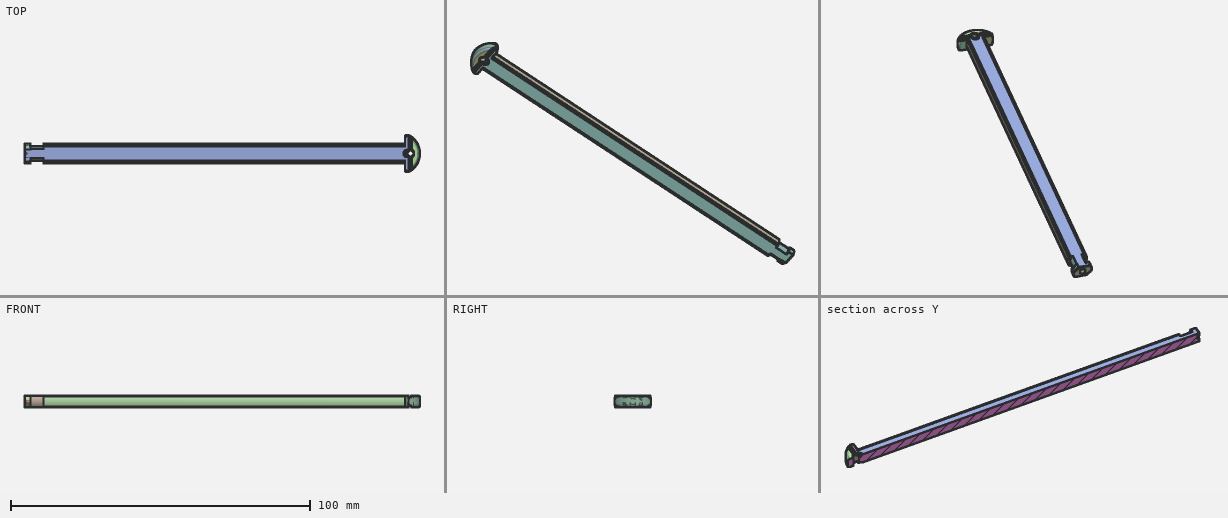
import cadquery as cq
import math

total_length = 131.88
thickness = 4.0
half_thickness = thickness / 2

rod_diameter = 6.7
rod_radius = rod_diameter / 2
rod_edge_chamfer = 0.4

neck_start = 2.0
neck_end = 6.4
neck_diameter = 5.0

tip_slope_top_y = 1.35
tip_slope_side_z = 0.2
tip_corner_radius = 1.0
tip_end_chamfer = 0.2
center_hole_diameter = 2.0
center_hole_angle = 90

head_start = 126.85
head_width = 12.25
head_corner_radius = 0.6
dome_radius = 6.75
dome_center_x = total_length - dome_radius
dome_edge_radius = 0.75

groove_start = 128.05
groove_depth = 0.6
groove_floor_width = 0.6
groove_slope_angle = 50
groove_middle = groove_start + groove_floor_width / 2

cross_hole_x = 128.7
cross_hole_diameter = 2.0
slot_start = 126.4
slot_width = 2.5
slot_depth = 0.4
slot_bevel_angle = 45


def flatted_bar(diameter, start, end):
    """Round bar along X with flats on its +Z and -Z sides."""
    length = end - start
    bar = cq.Workplane("YZ", origin=(start, 0, 0)).circle(diameter / 2).extrude(length)
    flats = cq.Workplane("YZ", origin=(start, 0, 0)).rect(diameter, thickness).extrude(length)
    return bar.intersect(flats)


def make_rod():
    rod = flatted_bar(rod_diameter, neck_end, head_start)
    return rod.edges("|X").chamfer(rod_edge_chamfer)


def make_neck():
    return flatted_bar(neck_diameter, neck_start, neck_end)


def make_center_hole():
    """Conical centre hole that opens on the end face of the tip."""
    radius = center_hole_diameter / 2
    depth = radius / math.tan(math.radians(center_hole_angle / 2))
    cone = cq.Solid.makeCone(radius, 0, depth, dir=cq.Vector(1, 0, 0))
    return cq.Workplane(cone)


def make_tip():
    side_y = math.sqrt(rod_radius**2 - tip_slope_side_z**2)
    slope = (half_thickness - tip_slope_side_z) / (side_y - tip_slope_top_y)
    corner = (
        cq.Workplane("YZ")
        .moveTo(tip_slope_top_y, half_thickness)
        .lineTo(tip_slope_top_y + rod_diameter, half_thickness - slope * rod_diameter)
        .lineTo(tip_slope_top_y + rod_diameter, half_thickness)
        .close()
        .extrude(neck_start)
    )
    tip = flatted_bar(rod_diameter, 0, neck_start)
    tip = tip.cut(corner).cut(corner.rotate((0, 0, 0), (1, 0, 0), 180))
    tip = tip.edges("|X").edges(">Y or <Y").fillet(tip_corner_radius)
    tip = tip.faces("<X").chamfer(tip_end_chamfer)
    return tip.cut(make_center_hole())


def disc_segment(start):
    """Part of the head disc beyond a plane across X."""
    half_chord = math.sqrt(dome_radius**2 - (start - dome_center_x) ** 2)
    return (
        cq.Workplane("XY", origin=(0, 0, -half_thickness))
        .moveTo(start, -half_chord)
        .threePointArc((total_length, 0), (start, half_chord))
        .close()
        .extrude(thickness)
    )


def make_head():
    turned = (
        cq.Workplane("YZ", origin=(head_start, 0, 0))
        .circle(head_width / 2)
        .extrude(total_length - head_start)
        .faces("<X")
        .edges()
        .fillet(head_corner_radius)
    )
    dome = disc_segment(groove_middle)
    flange = disc_segment(head_start).cut(dome)
    dome = dome.faces(">Z or <Z").edges("not <X").fillet(dome_edge_radius)
    return flange.union(dome).intersect(turned)


def cut_grooves(body):
    slope_width = groove_depth / math.tan(math.radians(groove_slope_angle))
    groove = (
        cq.Workplane("XZ", origin=(groove_start, head_width / 2, half_thickness))
        .lineTo(groove_floor_width + slope_width, 0)
        .lineTo(groove_floor_width, -groove_depth)
        .lineTo(0, -groove_depth)
        .close()
        .extrude(head_width)
    )
    return body.cut(groove).cut(groove.mirror("XY"))


def cut_cross_hole(body):
    hole = (
        cq.Workplane("XY", origin=(cross_hole_x, 0, -half_thickness))
        .circle(cross_hole_diameter / 2)
        .extrude(thickness)
    )
    slot_end = cross_hole_x + slot_width / 2
    slot = (
        cq.Workplane("XY", origin=((slot_start + slot_end) / 2, 0, half_thickness))
        .slot2D(slot_end - slot_start, slot_width)
        .extrude(-slot_depth, taper=slot_bevel_angle)
    )
    return body.cut(hole).cut(slot).cut(slot.mirror("XY"))


result = make_tip().union(make_neck()).union(make_rod()).union(make_head())
result = cut_grooves(result)
result = cut_cross_hole(result)